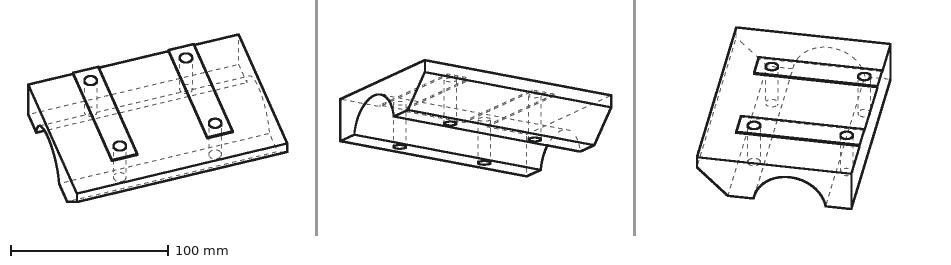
import cadquery as cq

width = 100.0
length = 141.0
total_height = 29.0
pad_thickness = 1.0
body_height = total_height - pad_thickness

bevel = 20.0
foot_end = width - bevel
channel_center_x = foot_end / 2
channel_depth = 20.0
channel_radius = 23.5

pad_length = foot_end
pad_width = 17.0
pad_spacing = 63.9
hole_diameter = 8.0
hole_spacing = 59.9
pad_rows = [-pad_spacing / 2, pad_spacing / 2]


def make_body():
    profile = (
        cq.Workplane("XZ")
        .polyline([
            (0, 0),
            (foot_end, 0),
            (width, bevel),
            (width, body_height),
            (0, body_height),
        ])
        .close()
    )
    return profile.extrude(length / 2, both=True)


def make_channel():
    return (
        cq.Workplane("XZ")
        .center(channel_center_x, channel_depth - channel_radius)
        .circle(channel_radius)
        .extrude(length / 2, both=True)
    )


def make_pad(row_y):
    return (
        cq.Workplane("XY", origin=(pad_length / 2, row_y, body_height))
        .rect(pad_length, pad_width)
        .extrude(pad_thickness)
    )


def make_holes(row_y):
    return (
        cq.Workplane("XY", origin=(pad_length / 2, row_y, 0))
        .pushPoints([(-hole_spacing / 2, 0), (hole_spacing / 2, 0)])
        .circle(hole_diameter / 2)
        .extrude(total_height)
    )


result = make_body().cut(make_channel())
for row in pad_rows:
    result = result.union(make_pad(row)).cut(make_holes(row))